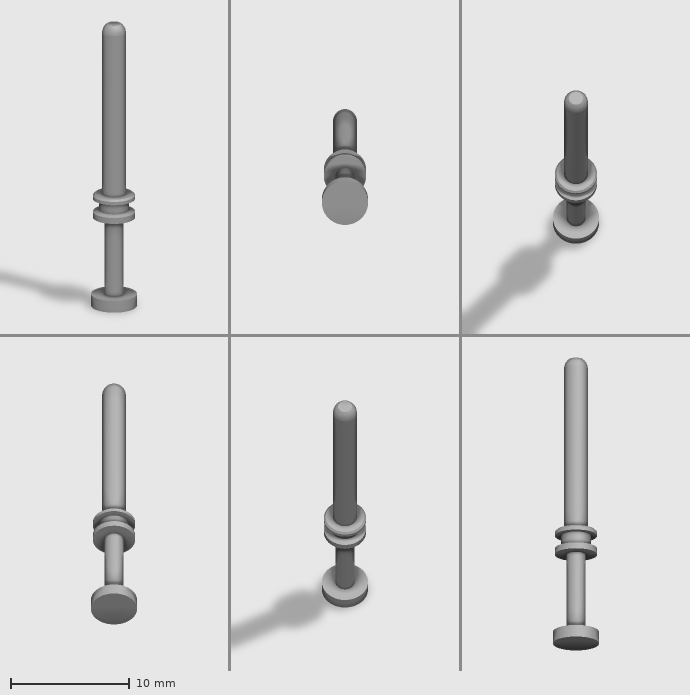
import cadquery as cq

total_height = 25.2
head_top = 1.03
lower_collar_bottom = 7.9
lower_collar_rim_top = 8.42
lower_collar_top = 8.57
upper_collar_bottom = 9.55
upper_collar_top = 10.0
tip_height = 0.78
tip_start = total_height - tip_height

head_radius = 3.9 / 2
stem_radius = 1.61 / 2
collar_radius = 3.58 / 2
neck_radius = 2.52 / 2
pin_radius = 2.02 / 2
tip_radius = 1.18 / 2

upper_collar_chamfer = 0.15

profile = (
    cq.Workplane("XZ")
    .lineTo(head_radius, 0)
    .lineTo(head_radius, head_top)
    .lineTo(stem_radius, head_top)
    .lineTo(stem_radius, lower_collar_bottom)
    .lineTo(collar_radius, lower_collar_bottom)
    .lineTo(collar_radius, lower_collar_rim_top)
    .lineTo(neck_radius, lower_collar_top)
    .lineTo(neck_radius, upper_collar_bottom)
    .lineTo(collar_radius, upper_collar_bottom)
    .lineTo(collar_radius, upper_collar_top - upper_collar_chamfer)
    .lineTo(collar_radius - upper_collar_chamfer, upper_collar_top)
    .lineTo(pin_radius, upper_collar_top)
    .lineTo(pin_radius, tip_start)
    .tangentArcPoint((tip_radius, total_height), relative=False)
    .lineTo(0, total_height)
    .close()
)

result = profile.revolve(360, (0, 0, 0), (0, 1, 0))